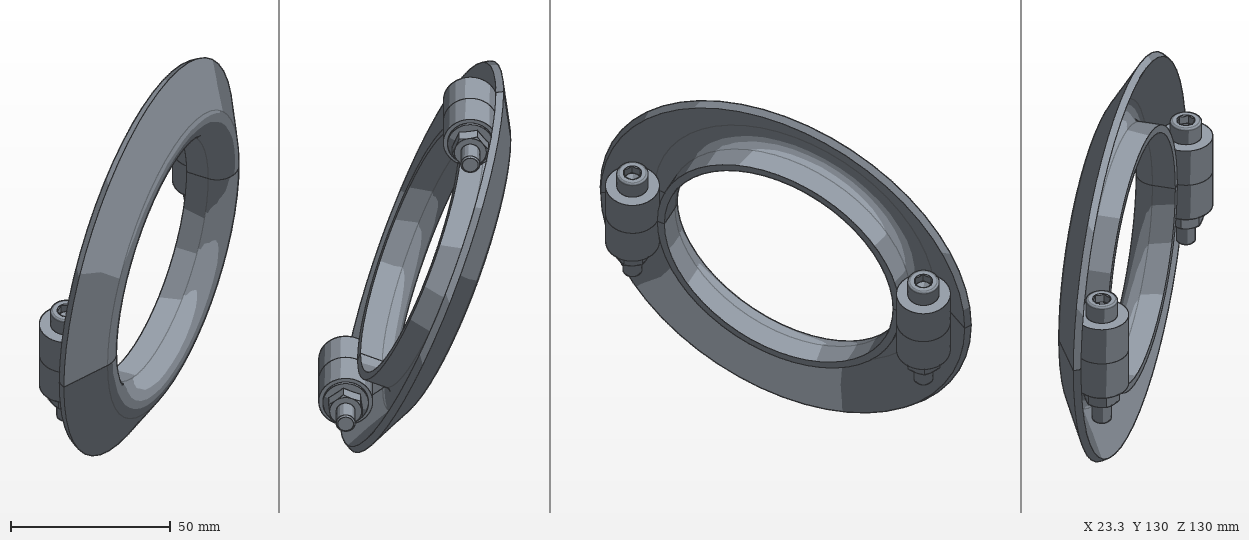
import cadquery as cq
import math


outer_radius = 65.0
bore_radius = 40.0
sheet = 2.5
inner_bend_radius = 4.4
bend_x = 7.9
lip_start_x = 0.5
cone_angle = 30.0
lip_outer_radius = bore_radius + sheet
bend_center_radius = lip_outer_radius + inner_bend_radius
outer_bend_radius = inner_bend_radius + sheet

lug_radius = 8.5
lug_height = 13.0
bolt_y = lip_outer_radius + lug_radius

thread_radius = 3.0
tip_length = 13.8
tip_chamfer = 0.5
head_radius = 5.0
head_height = 6.0
head_fillet = 0.6
socket_flats = 5.0
socket_depth = 3.0
drill_angle = 120.0
hexagon_ratio = 2 / math.sqrt(3)

nut_flats = 10.0
nut_height = 6.0
flange_radius = 7.2
flange_height = 1.0
flange_slope_height = 0.5
nut_chamfer_angle = 30.0


def ring_point(radius, angle):
    """Point (x, r) at an angle from +X around the bend centre."""
    turn = math.radians(angle)
    return (bend_x + radius * math.cos(turn), bend_center_radius + radius * math.sin(turn))


outer_tangent = ring_point(outer_bend_radius, cone_angle)
inner_tangent = ring_point(inner_bend_radius, cone_angle)
cone_rise = outer_radius - outer_tangent[1]
rim_outer = (outer_tangent[0] - cone_rise * math.tan(math.radians(cone_angle)), outer_radius)
rim_inner = (
    rim_outer[0] - sheet * math.cos(math.radians(cone_angle)),
    rim_outer[1] - sheet * math.sin(math.radians(cone_angle)),
)
mid_bend_angle = (cone_angle - 90) / 2


def half_ring(side):
    """Half of the ring, above Z = 0 for side 1 and below for side -1."""
    section = (
        cq.Workplane("XY")
        .moveTo(lip_start_x, bore_radius)
        .lineTo(bend_x, bore_radius)
        .threePointArc(ring_point(outer_bend_radius, mid_bend_angle), outer_tangent)
        .lineTo(*rim_outer)
        .lineTo(*rim_inner)
        .lineTo(*inner_tangent)
        .threePointArc(
            ring_point(inner_bend_radius, mid_bend_angle), (bend_x, lip_outer_radius)
        )
        .lineTo(lip_start_x, lip_outer_radius)
        .close()
    )
    return section.revolve(180, (0, 0, 0), (side, 0, 0))


def lug(y, side):
    """Cylindrical lug beside the lip, above Z = 0 for side 1 and below for side -1."""
    return (
        cq.Workplane("XY").center(0, y)
        .circle(lug_radius).circle(thread_radius)
        .extrude(side * lug_height)
    )


def hexagon(flats, height, turn):
    """Hexagonal prism on Z = 0, with corners on X turned about Z by an angle."""
    prism = cq.Workplane("XY").polygon(6, flats * hexagon_ratio).extrude(height)
    return prism.rotate((0, 0, 0), (0, 0, 1), turn)


def bolt(y):
    """Socket head bolt, with its head on the upper lug."""
    shank_length = 2 * lug_height + tip_length
    shank = (
        cq.Workplane("XY").circle(thread_radius).extrude(-shank_length)
        .faces("<Z").chamfer(tip_chamfer)
    )
    head = (
        cq.Workplane("XY").circle(head_radius).extrude(head_height)
        .faces(">Z").edges().fillet(head_fillet)
    )

    floor_z = head_height - socket_depth
    floor_radius = socket_flats / 2
    drill_tip = floor_radius / math.tan(math.radians(drill_angle / 2))
    mouth_radius = floor_radius * hexagon_ratio
    mouth_depth = mouth_radius - floor_radius
    round_cut = (
        cq.Workplane("XZ")
        .moveTo(0, floor_z - drill_tip)
        .lineTo(floor_radius, floor_z)
        .lineTo(floor_radius, head_height - mouth_depth)
        .lineTo(mouth_radius, head_height)
        .lineTo(0, head_height)
        .close()
        .revolve(360, (0, 0, 0), (0, 1, 0))
    )
    socket = hexagon(socket_flats, socket_depth, 90).translate((0, 0, floor_z)).union(round_cut)
    return shank.union(head).cut(socket).translate((0, y, lug_height))


def flange_nut(y, turn):
    """Nut with a flange against the lower lug, its hexagon turned about the bolt axis."""
    corner_radius = nut_flats * hexagon_ratio / 2
    chamfer_height = (corner_radius - nut_flats / 2) * math.tan(math.radians(nut_chamfer_angle))
    envelope = (
        cq.Workplane("XZ")
        .moveTo(0, 0)
        .lineTo(corner_radius, 0)
        .lineTo(corner_radius, chamfer_height - nut_height)
        .lineTo(nut_flats / 2, -nut_height)
        .lineTo(0, -nut_height)
        .close()
        .revolve(360, (0, 0, 0), (0, 1, 0))
    )
    flange = (
        cq.Workplane("XZ")
        .moveTo(0, 0)
        .lineTo(flange_radius, 0)
        .lineTo(flange_radius, -flange_height)
        .lineTo(nut_flats / 2, -flange_height - flange_slope_height)
        .lineTo(0, -flange_height - flange_slope_height)
        .close()
        .revolve(360, (0, 0, 0), (0, 1, 0))
    )
    hole = cq.Workplane("XY").circle(thread_radius).extrude(-nut_height)
    nut = hexagon(nut_flats, -nut_height, turn).intersect(envelope).union(flange).cut(hole)
    return nut.translate((0, y, -lug_height))


half_rings = [half_ring(side) for side in (1, -1)]
lugs = [lug(y, side) for y in (bolt_y, -bolt_y) for side in (1, -1)]
bolts = [bolt(y) for y in (bolt_y, -bolt_y)]
nuts = [flange_nut(bolt_y, 0), flange_nut(-bolt_y, 90)]

result = cq.Compound.makeCompound([body.val() for body in half_rings + lugs + bolts + nuts])